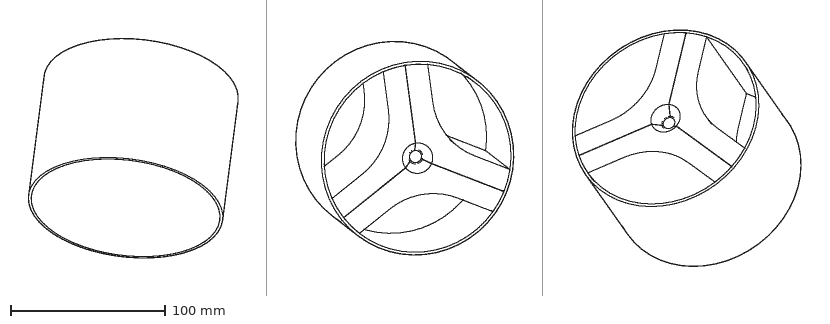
import cadquery as cq
import math

length = 90.0
tube_diameter = 127.1
bore_diameter = 123.4

insert_diameter = 123.2
base_thickness = 5.0
jaw_count = 3
seam_gap = 0.2
arm_width = 14.8
pocket_radius = 45.0
pin_diameter = 10.0
funnel_mouth_diameter = 20.0
funnel_throat_diameter = 8.0
funnel_depth = 7.3

insert_radius = insert_diameter / 2
jaw_height = length - base_thickness
pin_length = jaw_height - funnel_depth
jaw_angle = 360 / jaw_count
half_angle = math.radians(jaw_angle / 2)

tilted_plane = cq.Plane(origin=(0, 0, 0), xDir=(1, -1, 2), normal=(-1, 1, 1))


def place(body):
    """Move a body from its upright local frame onto the tilted axis."""
    return body.val().moved(tilted_plane.location)


def make_tube():
    return cq.Workplane().circle(tube_diameter / 2).circle(bore_diameter / 2).extrude(length)


def make_base():
    return cq.Workplane().circle(insert_radius).extrude(base_thickness)


def make_pin():
    """Pin that fills the bore; its end face is the floor of the funnel."""
    return cq.Workplane().workplane(offset=base_thickness).circle(pin_diameter / 2).extrude(pin_length)


def make_centre_cutter():
    """Pin bore, then a narrower throat that widens as a cone to the open end."""
    floor_height = base_thickness + pin_length
    profile = [
        (0, base_thickness),
        (pin_diameter / 2, base_thickness),
        (pin_diameter / 2, floor_height),
        (funnel_throat_diameter / 2, floor_height),
        (funnel_mouth_diameter / 2, length),
        (0, length),
    ]
    return cq.Workplane("XZ").polyline(profile).close().revolve(360, (0, 0), (0, 1))


def seam_point(along, inward):
    """Point measured along the seam below the local X axis and inward from it."""
    x = along * math.cos(half_angle) + inward * math.sin(half_angle)
    y = -along * math.sin(half_angle) + inward * math.cos(half_angle)
    return (x, y)


def rim_point(inward):
    """Point on the insert's outer circle at a distance inward from the seam."""
    return seam_point(math.sqrt(insert_radius**2 - inward**2), inward)


def mirrored(point):
    return (point[0], -point[1])


def make_jaw():
    """One jaw, symmetric about the local X axis: two half arms around a rounded pocket."""
    half_gap = seam_gap / 2
    heel = (half_gap / math.sin(half_angle), 0)
    seam_end = rim_point(half_gap)
    arm_middle = rim_point(arm_width / 2)
    arm_end = rim_point(arm_width)
    tangent_along = arm_width / math.tan(half_angle) + pocket_radius / math.tan(half_angle)
    pocket_tangent = seam_point(tangent_along, arm_width)
    pocket_bottom = ((arm_width + pocket_radius) / math.sin(half_angle) - pocket_radius, 0)
    blank = (
        cq.Workplane()
        .workplane(offset=base_thickness)
        .moveTo(*heel)
        .lineTo(*seam_end)
        .threePointArc(arm_middle, arm_end)
        .lineTo(*pocket_tangent)
        .threePointArc(pocket_bottom, mirrored(pocket_tangent))
        .lineTo(*mirrored(arm_end))
        .threePointArc(mirrored(arm_middle), mirrored(seam_end))
        .close()
        .extrude(jaw_height)
    )
    return blank.cut(make_centre_cutter())


tube = place(make_tube())
base = place(make_base())
pin = place(make_pin())

jaws = []
for index in range(jaw_count):
    turn = jaw_angle * (index + 0.5)
    jaws.append(place(make_jaw().rotate((0, 0, 0), (0, 0, 1), turn)))

result = cq.Compound.makeCompound([tube, base, pin, *jaws])